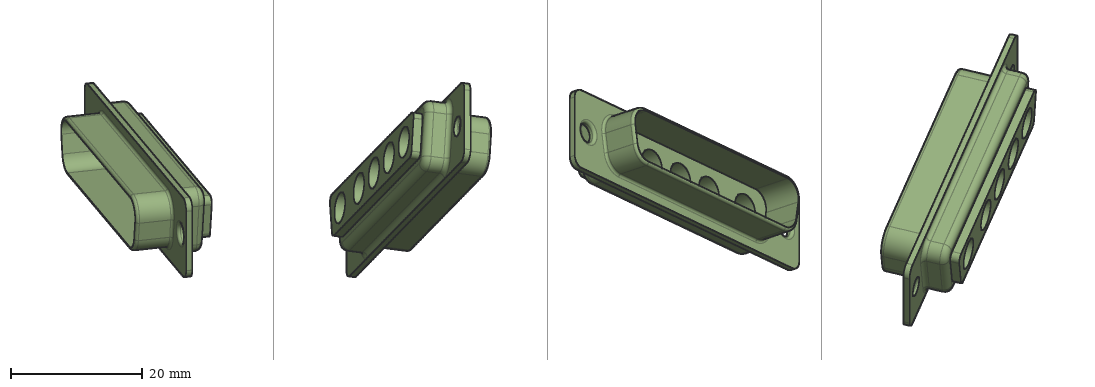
import cadquery as cq
import math


sheet_thickness = 0.5

plate_length = 53.4
plate_height = 12.95
plate_thickness = 2 * sheet_thickness
plate_corner_radius = 1.6
mount_spacing = 47.0
mount_hole_diameter = 3.1

side_angle = math.radians(10)

shell_reach = 5.95
shell_half_width = 19.9
shell_height = 9.25
shell_corner_radius = 3.1
shell_base_fillet = 0.45

housing_rear_y = 5.0
housing_half_width = 20.7
housing_height = 10.95
housing_corner_radius = 2.1
housing_rear_fillet = 1.2
housing_base_fillet = 0.75

insert_rear_y = 6.45
insert_half_width = 18.95
insert_height = 7.1
insert_corner_radius = 1.0

contact_diameter = 4.8
contact_pitch = 6.8
first_contact_x = -14.55
last_contact_x = 14.4
pitched_contacts = 4
contact_xs = [first_contact_x + i * contact_pitch for i in range(pitched_contacts)]
contact_xs.append(last_contact_x)


def d_prism(half_width, height, radius, start_y, end_y):
    """D-shaped prism along Y; half_width is its widest point, on the upper corner arcs."""
    top_z = height / 2
    top_x = half_width - radius + radius * (1 + math.sin(side_angle)) / math.cos(side_angle)
    bottom_x = top_x - height * math.tan(side_angle)
    corners = [(-top_x, top_z), (top_x, top_z), (bottom_x, -top_z), (-bottom_x, -top_z)]
    return (
        cq.Workplane("XZ", origin=(0, start_y, 0))
        .polyline(corners)
        .close()
        .extrude(start_y - end_y)
        .edges("|Y")
        .fillet(radius)
    )


def holes_along_y(xs, diameter, start_y, end_y):
    """Round cutters along Y, centred on Z = 0."""
    return (
        cq.Workplane("XZ", origin=(0, start_y, 0))
        .pushPoints([(x, 0) for x in xs])
        .circle(diameter / 2)
        .extrude(start_y - end_y)
    )


def mount_hole(x):
    """Cutter for a mounting hole whose front rim is rounded."""
    hole_radius = mount_hole_diameter / 2
    rim_radius = hole_radius + sheet_thickness
    arc_inset = sheet_thickness * (1 - math.sqrt(0.5))
    return (
        cq.Workplane("XY")
        .lineTo(rim_radius, 0)
        .threePointArc((hole_radius + arc_inset, arc_inset), (hole_radius, sheet_thickness))
        .lineTo(hole_radius, plate_thickness)
        .lineTo(0, plate_thickness)
        .close()
        .revolve(360, (0, 0), (0, 1))
        .translate((x, 0, 0))
    )


def base_edges(y):
    """Selector for the outline where the shell or housing meets the plate face at that Y."""
    margin = 0.05
    reach_x = housing_half_width + margin
    reach_z = housing_height / 2 + margin
    return cq.selectors.BoxSelector((-reach_x, y - margin, -reach_z), (reach_x, y + margin, reach_z))


plate = (
    cq.Workplane("XZ")
    .rect(plate_length, plate_height)
    .extrude(-plate_thickness)
    .edges("|Y")
    .fillet(plate_corner_radius)
)

shell = d_prism(shell_half_width, shell_height, shell_corner_radius, 0, -shell_reach)
shell = shell.faces("<Y").edges().fillet(sheet_thickness)
housing = d_prism(
    housing_half_width, housing_height, housing_corner_radius, plate_thickness, housing_rear_y
)
housing = housing.faces(">Y").edges().fillet(housing_rear_fillet)

body = plate.union(housing)
body = body.edges(base_edges(plate_thickness)).fillet(housing_base_fillet)
body = body.union(shell)
body = body.edges(base_edges(0)).fillet(shell_base_fillet)

body = body.union(
    d_prism(insert_half_width, insert_height, insert_corner_radius, plate_thickness, insert_rear_y)
)

body = body.cut(
    d_prism(
        shell_half_width - sheet_thickness,
        shell_height - 2 * sheet_thickness,
        shell_corner_radius - sheet_thickness,
        -shell_reach,
        sheet_thickness,
    )
)

body = body.cut(holes_along_y(contact_xs, contact_diameter, -shell_reach, insert_rear_y))
for side in (-1, 1):
    body = body.cut(mount_hole(side * mount_spacing / 2))

result = body